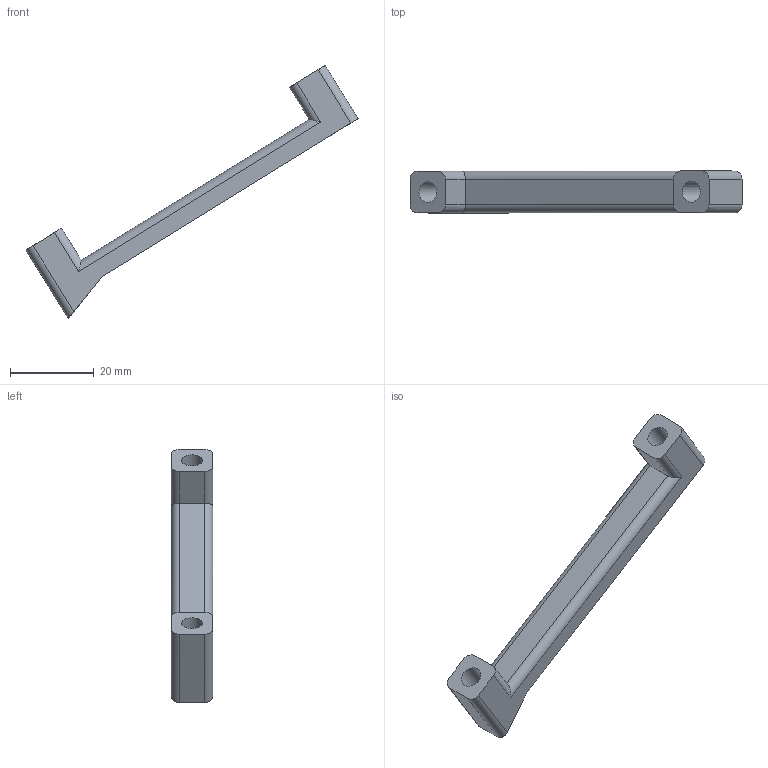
import cadquery as cq

tilt_angle = 31.7
hole_spacing = 74.2
hole_diameter = 5.0
post_width = 10.0
part_depth = 10.0
post_rise = 9.0
bar_thickness = 6.0
foot_drop = 4.27
foot_taper_length = 2.0
edge_radius = 2.0

total_length = hole_spacing + post_width
bar_bottom = -(post_rise + bar_thickness)
foot_bottom = bar_bottom - foot_drop
hole_positions = [post_width / 2, post_width / 2 + hole_spacing]


def make_body():
    """U-shaped profile with a pointed foot under the low post, extruded along Y."""
    outline = [
        (0, 0),
        (post_width, 0),
        (post_width, -post_rise),
        (hole_spacing, -post_rise),
        (hole_spacing, 0),
        (total_length, 0),
        (total_length, bar_bottom),
        (post_width + foot_taper_length, bar_bottom),
        (0, foot_bottom),
    ]
    return cq.Workplane("XZ").polyline(outline).close().extrude(part_depth / 2, both=True)


def round_edges(body):
    """Round the upright edges of both posts and the upper long edges of the bar."""
    upright_edges = body.edges("|Z")
    bar_top_centre = (total_length / 2, 0, -post_rise)
    bar_top = body.faces(cq.selectors.NearestToPointSelector(bar_top_centre))
    bar_top_edges = bar_top.edges("|X")
    return body.newObject(upright_edges.vals() + bar_top_edges.vals()).fillet(edge_radius)


def drill_holes(body):
    """Drill one through hole down the middle of each post."""
    for x in hole_positions:
        drill = cq.Workplane("XY").center(x, 0).circle(hole_diameter / 2).extrude(foot_bottom)
        body = body.cut(drill)
    return body


level_bracket = drill_holes(round_edges(make_body()))
result = level_bracket.rotate((0, 0, 0), (0, 1, 0), -tilt_angle)